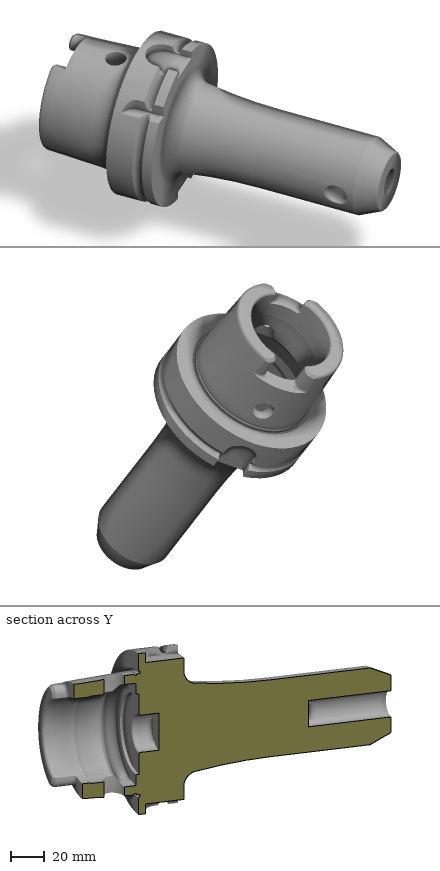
import cadquery as cq
import math

TAPER_LENGTH = 50.0
FLANGE_WIDTH = 29.0
SHANK_LENGTH = 210.0 - TAPER_LENGTH
NECK_START = 37.4
CYLINDER_START = 83.8
NOSE_START = 146.8

FLANGE_RADIUS = 50.0
TAPER_LARGE_RADIUS = 37.5
TAPER_SMALL_RADIUS = 35.5
TAPER_END_ROUND = 2.0
RELIEF_RADIUS = 36.8
RELIEF_START = 2.7
RELIEF_END = 0.8
RELIEF_SIDE = 0.5
FACE_RECESS_RADIUS = 39.5
FACE_RECESS_DEPTH = 0.8
NECK_RADIUS = 27.3
SHANK_RADIUS = 24.0
NOSE_RADIUS = 18.3
NOSE_CHAMFER = 0.6

GROOVE_START = 16.5
GROOVE_END = 22.9
GROOVE_FLOOR_START = 19.3
GROOVE_FLOOR_END = 21.5
GROOVE_FLOOR_RADIUS = 45.8
GROOVE_BEVEL = 1.3

BORE_RADIUS = 26.5
BORE_CHAMFER = 0.8
BORE_LIP_LENGTH = 20.0
BORE_STEP_RADIUS = 26.9
CONE_START = 36.3
UNDERCUT_RADIUS = 31.5
BORE_DEPTH = 48.3
FLOOR_STEP_RADIUS = 24.8
FLOOR_STEP_DEPTH = 2.0
SOCKET_RADIUS = 11.3
SOCKET_CHAMFER = 0.6
SOCKET_DEPTH = 12.5

WALL_HOLE_RADIUS = 6.3
WALL_HOLE_X = -15.1

DRIVE_HALF_WIDTH = 9.76
DRIVE_FLARE_RADIUS = 5.0
DRIVE_SHOULDER_Z = 31.5
DRIVE_INNER_Z = 19.0
DRIVE_DEPTH_TOP = 9.2
DRIVE_DEPTH_BOTTOM = 14.5
DRIVE_CHAMFER = 1.7
DRIVE_FLOOR_ROUND = 1.5

KEY_HALF_WIDTH = 9.9
KEY_FLOOR_Z = 43.9
KEY_START = 4.6
NOTCH_FLOOR_Z = 31.5
NOTCH_WALL_Y = -31.7
NOTCH_START = 5.0
NOTCH_CORNER_RADIUS = 7.8

TOOL_BORE_RADIUS = 8.0
TOOL_BORE_DEPTH = 52.0
SCREW_RADIUS = 6.3
SCREW_CHAMFER = 0.6
SCREW_X = SHANK_LENGTH - 24.2

CLEAR = 63.0


def turned_body():
    """Solid of revolution: hollow taper, flange, necked shank and nose."""
    neck_round = NECK_START - FLANGE_WIDTH
    run = CYLINDER_START - NECK_START
    rise = NECK_RADIUS - SHANK_RADIUS
    blend_radius = (run**2 + rise**2) / (2 * rise)
    blend_mid = (
        CYLINDER_START - run / 2,
        SHANK_RADIUS + blend_radius - math.sqrt(blend_radius**2 - (run / 2) ** 2),
    )
    cone_run = UNDERCUT_RADIUS - BORE_STEP_RADIUS
    lip_end = BORE_LIP_LENGTH - TAPER_LENGTH
    cone_x = CONE_START - TAPER_LENGTH
    ledge_x = BORE_DEPTH - TAPER_LENGTH
    floor_x = ledge_x + FLOOR_STEP_DEPTH
    socket_x = floor_x + SOCKET_DEPTH

    profile = (
        cq.Workplane("XY")
        .moveTo(socket_x, 0)
        .lineTo(socket_x, SOCKET_RADIUS)
        .lineTo(floor_x + SOCKET_CHAMFER, SOCKET_RADIUS)
        .lineTo(floor_x, SOCKET_RADIUS + SOCKET_CHAMFER)
        .lineTo(floor_x, FLOOR_STEP_RADIUS)
        .lineTo(ledge_x, FLOOR_STEP_RADIUS)
        .lineTo(ledge_x, UNDERCUT_RADIUS)
        .lineTo(cone_x + cone_run, UNDERCUT_RADIUS)
        .lineTo(cone_x, BORE_STEP_RADIUS)
        .lineTo(lip_end, BORE_STEP_RADIUS)
        .lineTo(lip_end, BORE_RADIUS)
        .lineTo(BORE_CHAMFER - TAPER_LENGTH, BORE_RADIUS)
        .lineTo(-TAPER_LENGTH, BORE_RADIUS + BORE_CHAMFER)
        .lineTo(-TAPER_LENGTH, TAPER_SMALL_RADIUS - TAPER_END_ROUND)
        .radiusArc((TAPER_END_ROUND - TAPER_LENGTH, TAPER_SMALL_RADIUS), TAPER_END_ROUND)
        .lineTo(-RELIEF_START, TAPER_LARGE_RADIUS)
        .lineTo(RELIEF_SIDE - RELIEF_START, RELIEF_RADIUS)
        .lineTo(-RELIEF_END - RELIEF_SIDE, RELIEF_RADIUS)
        .lineTo(-RELIEF_END, TAPER_LARGE_RADIUS)
        .lineTo(FACE_RECESS_DEPTH, TAPER_LARGE_RADIUS)
        .lineTo(FACE_RECESS_DEPTH, FACE_RECESS_RADIUS - FACE_RECESS_DEPTH)
        .lineTo(0, FACE_RECESS_RADIUS)
        .lineTo(0, FLANGE_RADIUS)
        .lineTo(GROOVE_START, FLANGE_RADIUS)
        .lineTo(GROOVE_FLOOR_START - GROOVE_BEVEL, GROOVE_FLOOR_RADIUS + GROOVE_BEVEL)
        .lineTo(GROOVE_FLOOR_START, GROOVE_FLOOR_RADIUS)
        .lineTo(GROOVE_FLOOR_END, GROOVE_FLOOR_RADIUS)
        .lineTo(GROOVE_FLOOR_END, GROOVE_FLOOR_RADIUS + GROOVE_BEVEL)
        .lineTo(GROOVE_END, FLANGE_RADIUS)
        .lineTo(FLANGE_WIDTH, FLANGE_RADIUS)
        .lineTo(FLANGE_WIDTH, NECK_RADIUS + neck_round)
        .radiusArc((NECK_START, NECK_RADIUS), -neck_round)
        .threePointArc(blend_mid, (CYLINDER_START, SHANK_RADIUS))
        .lineTo(NOSE_START, SHANK_RADIUS)
        .lineTo(SHANK_LENGTH - NOSE_CHAMFER, NOSE_RADIUS)
        .lineTo(SHANK_LENGTH, NOSE_RADIUS - NOSE_CHAMFER)
        .lineTo(SHANK_LENGTH, 0)
        .close()
    )
    return profile.revolve(360, (0, 0, 0), (1, 0, 0))


def drive_slot_outline():
    """Cross-section of the +Z drive slot: straight walls that flare out in a round to flat shoulders."""
    flare_y = DRIVE_HALF_WIDTH + DRIVE_FLARE_RADIUS
    flare_z = DRIVE_SHOULDER_Z - DRIVE_FLARE_RADIUS
    return (
        cq.Workplane("YZ", origin=(-TAPER_LENGTH, 0, 0))
        .moveTo(-DRIVE_HALF_WIDTH, DRIVE_INNER_Z)
        .lineTo(DRIVE_HALF_WIDTH, DRIVE_INNER_Z)
        .lineTo(DRIVE_HALF_WIDTH, flare_z)
        .radiusArc((flare_y, DRIVE_SHOULDER_Z), DRIVE_FLARE_RADIUS)
        .lineTo(CLEAR, DRIVE_SHOULDER_Z)
        .lineTo(CLEAR, CLEAR)
        .lineTo(-CLEAR, CLEAR)
        .lineTo(-CLEAR, DRIVE_SHOULDER_Z)
        .lineTo(-flare_y, DRIVE_SHOULDER_Z)
        .radiusArc((-DRIVE_HALF_WIDTH, flare_z), DRIVE_FLARE_RADIUS)
        .close()
    )


def drive_slot(depth):
    """Cutter for the +Z drive slot, with a chamfered mouth and a rounded floor edge."""
    slot = drive_slot_outline().extrude(depth).faces(">X").edges().fillet(DRIVE_FLOOR_ROUND)
    mouth = drive_slot_outline().offset2D(DRIVE_CHAMFER).extrude(DRIVE_CHAMFER, taper=45)
    return slot.union(mouth)


def key_slot():
    """Cutter for the +Z flange key slot, round at the taper end and open toward the shank."""
    center_x = KEY_START + KEY_HALF_WIDTH
    return (
        cq.Workplane("XY", origin=(0, 0, KEY_FLOOR_Z))
        .moveTo(FLANGE_WIDTH, -KEY_HALF_WIDTH)
        .lineTo(center_x, -KEY_HALF_WIDTH)
        .threePointArc((KEY_START, 0), (center_x, KEY_HALF_WIDTH))
        .lineTo(FLANGE_WIDTH, KEY_HALF_WIDTH)
        .close()
        .extrude(CLEAR)
    )


def corner_notch():
    """Cutter for the single notch between the -Y and +Z sides of the flange."""
    corner_y = NOTCH_WALL_Y - NOTCH_CORNER_RADIUS
    return (
        cq.Workplane("XY", origin=(0, 0, NOTCH_FLOOR_Z))
        .moveTo(FLANGE_WIDTH, NOTCH_WALL_Y)
        .lineTo(NOTCH_START + NOTCH_CORNER_RADIUS, NOTCH_WALL_Y)
        .radiusArc((NOTCH_START, corner_y), -NOTCH_CORNER_RADIUS)
        .lineTo(NOTCH_START, -CLEAR)
        .lineTo(FLANGE_WIDTH, -CLEAR)
        .close()
        .extrude(CLEAR)
    )


def wall_holes():
    """Cutter for the hole that crosses the hollow taper along Z."""
    return cq.Workplane("XY", origin=(WALL_HOLE_X, 0, -CLEAR)).circle(WALL_HOLE_RADIUS).extrude(2 * CLEAR)


def tool_bore():
    """Cutter for the blind tool bore in the nose."""
    return (
        cq.Workplane("YZ", origin=(SHANK_LENGTH - TOOL_BORE_DEPTH, 0, 0))
        .circle(TOOL_BORE_RADIUS)
        .extrude(TOOL_BORE_DEPTH)
    )


def screw_hole():
    """Cutter for the screw hole from the -Y side into the tool bore, with a countersunk rim."""
    rim_depth = 2 * SCREW_CHAMFER
    hole = cq.Workplane("XZ", origin=(SCREW_X, 0, 0)).circle(SCREW_RADIUS).extrude(CLEAR)
    rim = (
        cq.Workplane("XZ", origin=(SCREW_X, rim_depth - SHANK_RADIUS, 0))
        .circle(SCREW_RADIUS)
        .extrude(CLEAR, taper=-45)
    )
    return hole.union(rim)


def turned_over(cutter):
    """Copy of a +Z cutter on the -Z side."""
    return cutter.rotate((0, 0, 0), (1, 0, 0), 180)


result = turned_body()
for cutter in (
    drive_slot(DRIVE_DEPTH_TOP),
    turned_over(drive_slot(DRIVE_DEPTH_BOTTOM)),
    key_slot(),
    turned_over(key_slot()),
    corner_notch(),
    wall_holes(),
    tool_bore(),
    screw_hole(),
):
    result = result.cut(cutter)